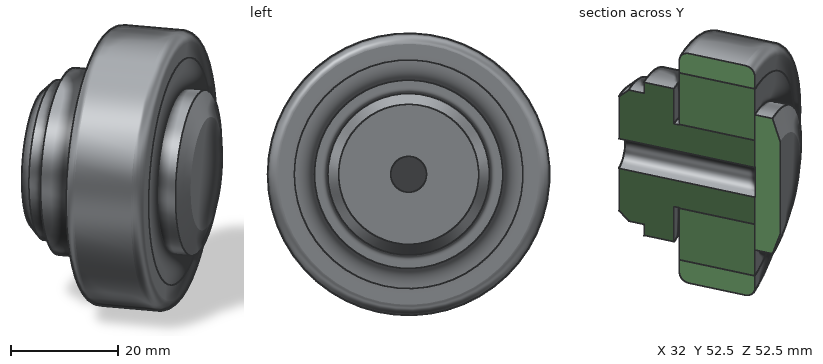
import cadquery as cq


RING_DIAMETER = 52.5
RING_WIDTH = 15.0
RING_ROUND = 2.0

CORE_DIAMETER = 42.5

STUB_DIAMETER = 30.05
STUB_LENGTH = 5.0
STUB_CHAMFER = 2.0
FLANGE_DIAMETER = 35.0
FLANGE_WIDTH = 6.0
NECK_DIAMETER = 19.0
SIDE_GAP = 1.0
AXLE_HOLE_DIAMETER = 6.65

CAP_DIAMETER = 31.0
CAP_END_DIAMETER = 21.2
CAP_STRAIGHT_LENGTH = 3.5
CAP_TAPER_LENGTH = 1.5

FLANGE_X = STUB_LENGTH
NECK_X = FLANGE_X + FLANGE_WIDTH
RING_X = NECK_X + SIDE_GAP
CAP_X = RING_X + RING_WIDTH


def cylinder(diameter, start_x, length):
    """Solid cylinder along +X."""
    return cq.Workplane("YZ", origin=(start_x, 0, 0)).circle(diameter / 2).extrude(length)


def make_ring():
    """Outer ring with rounded rims and a plain bore for the core."""
    rim = cylinder(RING_DIAMETER, RING_X, RING_WIDTH).edges("%CIRCLE").fillet(RING_ROUND)
    return rim.cut(cylinder(CORE_DIAMETER, RING_X, RING_WIDTH))


def make_core():
    """Annular core, flush with both ring faces."""
    disc = cylinder(CORE_DIAMETER, RING_X, RING_WIDTH)
    return disc.cut(cylinder(NECK_DIAMETER, RING_X, RING_WIDTH))


def make_axle():
    """Chamfered stub, flange and neck, with a hole along the whole axle."""
    stub = cylinder(STUB_DIAMETER, 0, STUB_LENGTH).faces("<X").chamfer(STUB_CHAMFER)
    flange = cylinder(FLANGE_DIAMETER, FLANGE_X, FLANGE_WIDTH)
    neck = cylinder(NECK_DIAMETER, NECK_X, CAP_X - NECK_X)
    hole = cylinder(AXLE_HOLE_DIAMETER, 0, CAP_X)
    return stub.union(flange).union(neck).cut(hole)


def make_cap():
    """Closed end cap: a short cylinder that tapers to a smaller flat end."""
    taper_x = CAP_X + CAP_STRAIGHT_LENGTH
    end_x = taper_x + CAP_TAPER_LENGTH
    half_profile = (
        cq.Workplane("XY")
        .moveTo(CAP_X, 0)
        .lineTo(CAP_X, CAP_DIAMETER / 2)
        .lineTo(taper_x, CAP_DIAMETER / 2)
        .lineTo(end_x, CAP_END_DIAMETER / 2)
        .lineTo(end_x, 0)
        .close()
    )
    return half_profile.revolve(360, (0, 0, 0), (1, 0, 0))


ring = make_ring()
core = make_core()
axle = make_axle()
cap = make_cap()

result = cq.Compound.makeCompound([ring.val(), core.val(), axle.val(), cap.val()])